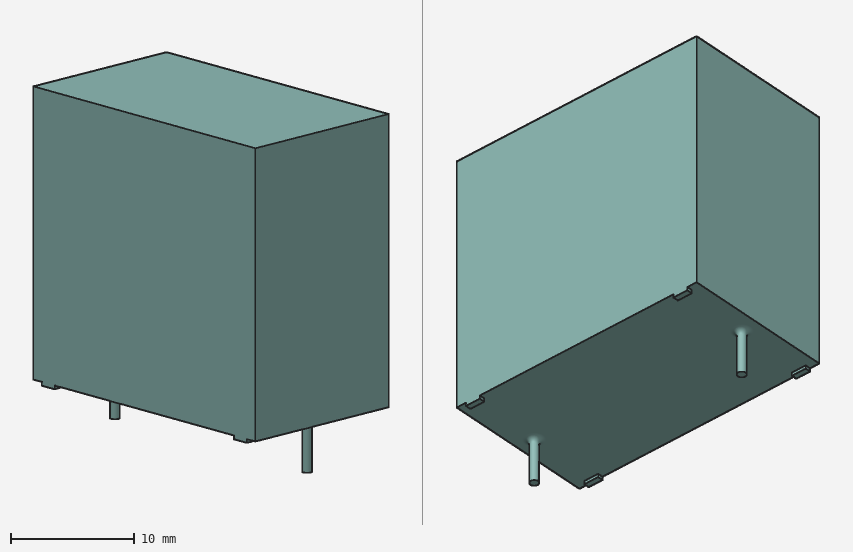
import cadquery as cq

LENGTH = 26.0
WIDTH = 15.0
HEIGHT = 29.0

PIN_DIAMETER = 0.8
PIN_PITCH = 22.5
PIN_LENGTH_BELOW_FEET = 4.0

FOOT_LENGTH = 1.5
FOOT_WIDTH = 0.55
FOOT_HEIGHT = 0.32

COLLAR_RADIUS = 0.55

foot_bottom = PIN_LENGTH_BELOW_FEET
box_bottom = foot_bottom + FOOT_HEIGHT
pin_positions = [-PIN_PITCH / 2, PIN_PITCH / 2]


def upright_block(length, width, bottom, height, x=0, y=0):
    """Block centred on (x, y) that rises from the level `bottom`."""
    return (
        cq.Workplane("XY", origin=(x, y, bottom))
        .box(length, width, height, centered=(True, True, False))
    )


def pin_with_collar(x):
    """Pin whose top flares out in a quarter-circle to meet the box."""
    pin_radius = PIN_DIAMETER / 2
    arc_offset = COLLAR_RADIUS * (1 - 0.5**0.5)
    profile = (
        cq.Workplane("XZ")
        .lineTo(pin_radius, 0)
        .lineTo(pin_radius, box_bottom - COLLAR_RADIUS)
        .threePointArc(
            (pin_radius + arc_offset, box_bottom - arc_offset),
            (pin_radius + COLLAR_RADIUS, box_bottom),
        )
        .lineTo(0, box_bottom)
        .close()
    )
    return profile.revolve(360, (0, 0, 0), (0, 1, 0)).translate((x, 0, 0))


result = upright_block(LENGTH, WIDTH, box_bottom, HEIGHT - box_bottom)

foot_y = (WIDTH - FOOT_WIDTH) / 2
for pin_x in pin_positions:
    result = result.union(pin_with_collar(pin_x))
    for y in (-foot_y, foot_y):
        result = result.union(upright_block(FOOT_LENGTH, FOOT_WIDTH, foot_bottom, FOOT_HEIGHT, pin_x, y))